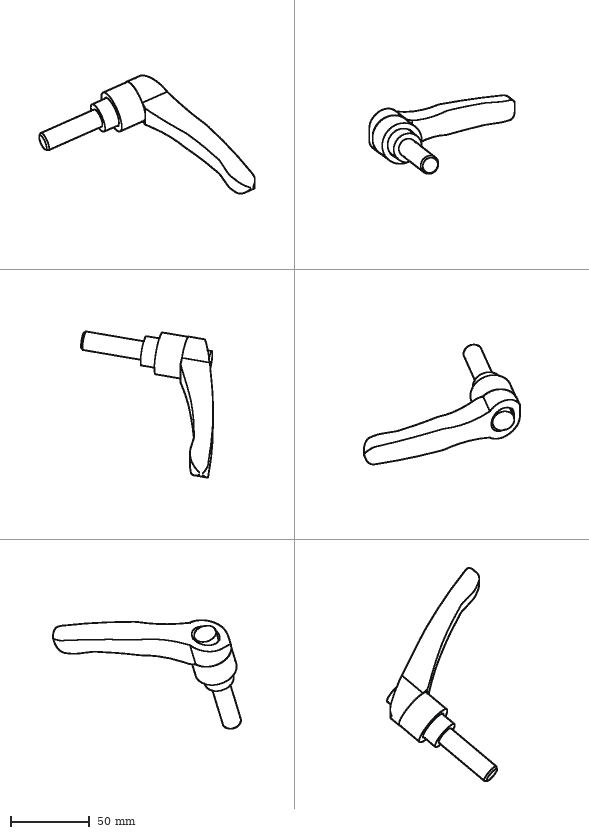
import cadquery as cq

HEAD_DIA = 27.5
HUB_DIA = 27.0
HUB_LENGTH = 17.0
COLLAR_DIA = 19.0
COLLAR_END = 26.9
COLLAR_BORE_DIA = 19.6
COLLAR_GAP_DEPTH = 3.3
STUD_DIA = 12.0
STUD_END = 66.7
STUD_CHAMFER_LENGTH = 1.3
STUD_CHAMFER_RADIAL = 1.0
PIN_DIA = 14.2
PIN_TOP = 16.1
PIN_BORE_DIA = 16.6
PIN_BORE_FLOOR = 4.6
HEAD_CORNER_Y = 4.6

OVERALL_LENGTH = 108.5
HEAD_LEFT = -HUB_DIA / 2
TIP_X = OVERALL_LENGTH + HEAD_LEFT
LEVER_TOP = 35.9
FLANK_START = (9.1, 10.1)
NOSE_START = (89.0, 6.6)


def rod(diameter, y_low, y_high):
    """Cylinder on the stud axis between two Y levels."""
    base = cq.Workplane("XZ", origin=(0, y_high, 0))
    return base.circle(diameter / 2).extrude(y_high - y_low)


def lever_profile():
    """Side outline of head and arm in the XY plane, thick enough to be trimmed."""
    return (
        cq.Workplane("XY")
        .moveTo(HEAD_LEFT, 0)
        .lineTo(HEAD_LEFT, HEAD_CORNER_Y)
        .threePointArc((-12.8, 7.7), (-10.3, 10.1))
        .threePointArc((0, 14.2), (FLANK_START[0], 17.9))
        .threePointArc((43.8, 28.2), (88.5, 35.6))
        .lineTo(91.7, LEVER_TOP)
        .threePointArc((94.2, 34.7), (TIP_X, 32.0))
        .threePointArc((93.2, 27.1), (88.5, 23.9))
        .lineTo(85.8, 22.9)
        .threePointArc((83.8, 22.3), (81.6, 22.1))
        .lineTo(71.6, 22.1)
        .threePointArc((70.4, 22.0), (69.1, 21.7))
        .threePointArc((43.8, 14.0), (17.9, 2.2))
        .lineTo(-HEAD_LEFT, 0)
        .close()
        .extrude(HEAD_DIA / 2, both=True)
    )


def arm_planform():
    """Waisted grip outline in the XZ plane, symmetric about the X axis."""
    half = (
        cq.Workplane("XZ")
        .lineTo(0, FLANK_START[1])
        .lineTo(*FLANK_START)
        .threePointArc((26.0, 6.9), (41.2, 7.9))
        .threePointArc((42.5, 8.0), (43.8, 8.0))
        .threePointArc((69.1, 7.4), NOSE_START)
        .threePointArc((93.3, 4.3), (TIP_X, 0))
        .close()
        .extrude(-LEVER_TOP)
    )
    return half.union(half.mirror("XY"))


head_and_arm = rod(HEAD_DIA, 0, LEVER_TOP).union(arm_planform())
lever = lever_profile().intersect(head_and_arm)

body = lever.union(rod(HUB_DIA, -HUB_LENGTH, 0))
body = body.cut(rod(PIN_BORE_DIA, PIN_BORE_FLOOR, LEVER_TOP))
body = body.cut(rod(COLLAR_BORE_DIA, -HUB_LENGTH, COLLAR_GAP_DEPTH - HUB_LENGTH))

stud = rod(STUD_DIA, -STUD_END, -COLLAR_END)
stud = stud.faces("<Y").chamfer(STUD_CHAMFER_LENGTH, STUD_CHAMFER_RADIAL)
insert = rod(PIN_DIA, 0, PIN_TOP).union(rod(COLLAR_DIA, -COLLAR_END, 0)).union(stud)

result = body.union(insert)